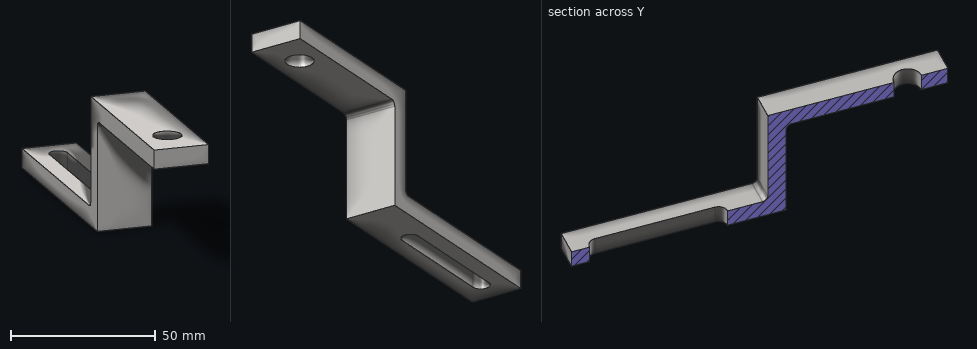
import cadquery as cq

length = 140.0
width = 20.0
height = 47.0
thickness = 7.0
lower_leg_length = 80.0
inner_radius = 2.0

slot_start = 6.7
slot_length = 51.2
slot_width = 6.6

hole_diameter = 10.1
hole_end_distance = 15.0

web_start = lower_leg_length - thickness
upper_underside = height - thickness


def z_bracket():
    """Z-shaped profile extruded across the width, with rounded inner corners."""
    profile = [
        (0, 0),
        (lower_leg_length, 0),
        (lower_leg_length, upper_underside),
        (length, upper_underside),
        (length, height),
        (web_start, height),
        (web_start, thickness),
        (0, thickness),
    ]
    body = cq.Workplane("XZ").polyline(profile).close().extrude(width / 2, both=True)
    inner_corners = [(web_start, thickness), (lower_leg_length, upper_underside)]
    for x, z in inner_corners:
        corner = cq.selectors.NearestToPointSelector((x, 0, z))
        body = body.edges("|Y").edges(corner).fillet(inner_radius)
    return body


def slot_cutter():
    center_x = slot_start + slot_length / 2
    return cq.Workplane("XY").center(center_x, 0).slot2D(slot_length, slot_width).extrude(thickness)


def hole_cutter():
    center_x = length - hole_end_distance
    plane = cq.Workplane("XY").workplane(offset=upper_underside)
    return plane.center(center_x, 0).circle(hole_diameter / 2).extrude(thickness)


result = z_bracket().cut(slot_cutter()).cut(hole_cutter())